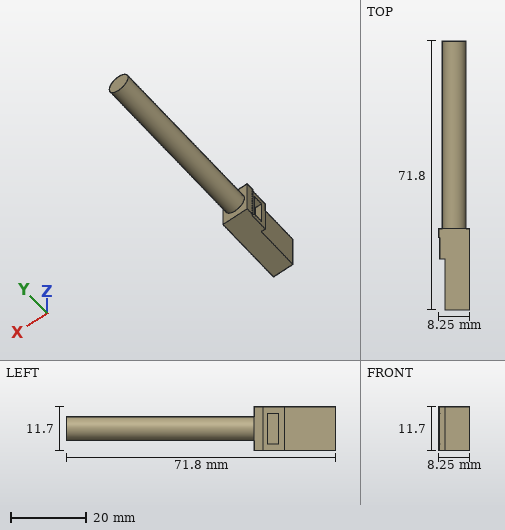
import cadquery as cq

head_width = 8.25
head_length = 21.75
head_height = 11.7
collar_length = 2.4
collar_step = 0.3
shoulder_length = 5.75
shoulder_step = 1.35

pocket_length = 3.0
pocket_height = 8.1
pocket_depth = 2.0
pocket_setback = 3.55

cable_diameter = 6.4
cable_length = 50.0
cable_offset = head_width / 2

collar_x = -cable_offset
shoulder_x = collar_x + collar_step
nose_x = shoulder_x + shoulder_step
back_x = collar_x + head_width
collar_end_y = -collar_length
shoulder_end_y = collar_end_y - shoulder_length
pocket_y = -pocket_setback - pocket_length / 2


def make_head():
    """Prism with two steps on its -X side."""
    outline = [
        (back_x, 0),
        (collar_x, 0),
        (collar_x, collar_end_y),
        (shoulder_x, collar_end_y),
        (shoulder_x, shoulder_end_y),
        (nose_x, shoulder_end_y),
        (nose_x, -head_length),
        (back_x, -head_length),
    ]
    return cq.Workplane("XY").polyline(outline).close().extrude(head_height / 2, both=True)


def make_pocket():
    """Block removed from the shoulder, centred on the head height."""
    return (
        cq.Workplane("XY")
        .box(pocket_depth, pocket_length, pocket_height)
        .translate((shoulder_x + pocket_depth / 2, pocket_y, 0))
    )


def make_cable():
    """Cylinder running along +Y from the end face of the head."""
    return cq.Workplane("XZ").circle(cable_diameter / 2).extrude(-cable_length)


result = make_head().cut(make_pocket()).union(make_cable())